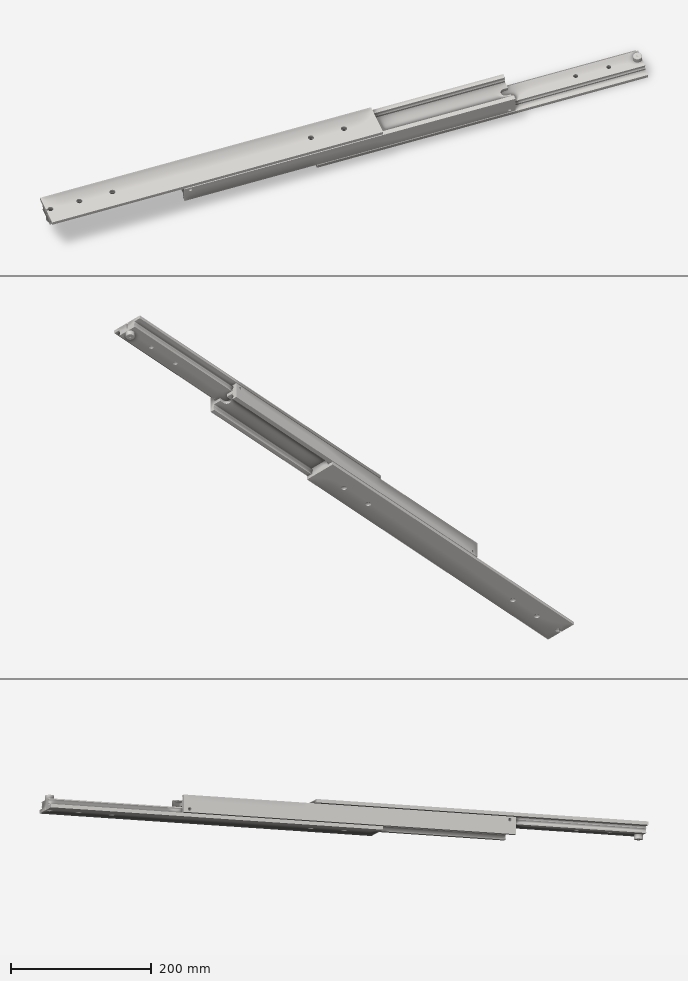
import cadquery as cq

rail_length = 500.0
travel = 200.0
overall_width = 50.0
overall_height = 38.0
half_length = rail_length / 2

ball_radius = 3.0
ball_x = 16.5
ball_z = 8.15

flange_thickness = 5.0
flange_top_z = overall_height / 2
flange_bottom_z = flange_top_z - flange_thickness
body_width = 30.0
neck_width = 29.0
neck_bottom_z = 12.0
running_face_z = 4.0

middle_height = 25.0
middle_top_z = middle_height / 2
channel_width = 36.0
web_thickness = 5.0
web_top_z = web_thickness / 2

hole_diameter = 7.0
counterbore_diameter = 8.5
hole_offsets = (50.0, 100.0, 400.0, 450.0)

stop_diameter = 13.0
stop_y = stop_diameter / 2 - half_length
stop_tip_z = -3.0
stop_chamfer = 0.5
dimple_diameter = 4.0
dimple_depth = 1.0

recess_diameter = 8.0
recess_floor_z = 1.5
slot_width = 2.5
slot_floor_z = 9.0

notch_width = 13.0
notch_depth = 13.0

cross_hole_diameter = 5.0
cross_hole_inset = 9.0
cross_hole_z = 8.0


def bar(width, bottom_z, top_z):
    """Rectangular bar of full rail length, centred on X and Y."""
    return (
        cq.Workplane("XY", origin=(0, 0, bottom_z))
        .rect(width, rail_length)
        .extrude(top_z - bottom_z)
    )


def upright_cylinders(points, diameter, bottom_z, top_z):
    return (
        cq.Workplane("XY", origin=(0, 0, bottom_z))
        .pushPoints(points)
        .circle(diameter / 2)
        .extrude(top_z - bottom_z)
    )


def ball_tracks(z):
    """Round cutters that run along both sides at height z."""
    return (
        cq.Workplane("XZ")
        .pushPoints([(ball_x, z), (-ball_x, z)])
        .circle(ball_radius)
        .extrude(rail_length, both=True)
    )


def mounting_holes():
    points = [(0, offset - half_length) for offset in hole_offsets]
    through = upright_cylinders(points, hole_diameter, running_face_z, flange_top_z)
    counterbores = upright_cylinders(points, counterbore_diameter, flange_bottom_z, flange_top_z)
    return through.union(counterbores)


def stop_stud():
    stud = upright_cylinders([(0, stop_y)], stop_diameter, stop_tip_z, running_face_z)
    tip_centre = cq.Vector(0, stop_y, stop_tip_z)
    dimple = cq.Solid.makeCone(dimple_diameter / 2, 0, dimple_depth, tip_centre)
    return stud.faces("<Z").chamfer(stop_chamfer).cut(cq.Workplane(dimple))


def keyhole_recess():
    recess = upright_cylinders([(0, stop_y)], recess_diameter, recess_floor_z, flange_top_z)
    slot = (
        cq.Workplane("XY", origin=(0, -half_length, slot_floor_z))
        .rect(slot_width, stop_diameter)
        .extrude(flange_top_z - slot_floor_z)
    )
    return recess.union(slot)


def outer_rail():
    """Outer rail centred on Y, with its stop at the -Y end and its flange up."""
    flange = bar(overall_width, flange_bottom_z, flange_top_z)
    neck = bar(neck_width, neck_bottom_z, flange_bottom_z)
    body = bar(body_width, running_face_z, neck_bottom_z)
    section = flange.union(neck).union(body).cut(ball_tracks(ball_z))
    return section.union(stop_stud()).cut(mounting_holes()).cut(keyhole_recess())


def middle_rail():
    rail = bar(overall_width, -middle_top_z, middle_top_z)
    rail = rail.cut(bar(channel_width, web_top_z, middle_top_z))
    rail = rail.cut(bar(channel_width, -middle_top_z, -web_top_z))
    for end in (1, -1):
        notch = (
            cq.Workplane("XY", origin=(0, end * half_length, -web_top_z))
            .slot2D(2 * notch_depth, notch_width, 90)
            .extrude(web_thickness)
        )
        cross_hole = (
            cq.Workplane("YZ")
            .center(end * (half_length - cross_hole_inset), -end * cross_hole_z)
            .circle(cross_hole_diameter / 2)
            .extrude(overall_width, both=True)
        )
        rail = rail.cut(ball_tracks(end * ball_z)).cut(notch).cut(cross_hole)
    return rail


upper_rail = outer_rail().translate((0, -travel, 0))
lower_rail = upper_rail.rotate((0, 0, 0), (1, 0, 0), 180)
centre_rail = middle_rail()

bodies = [rail.solids().val() for rail in (upper_rail, centre_rail, lower_rail)]
result = cq.Compound.makeCompound(bodies)